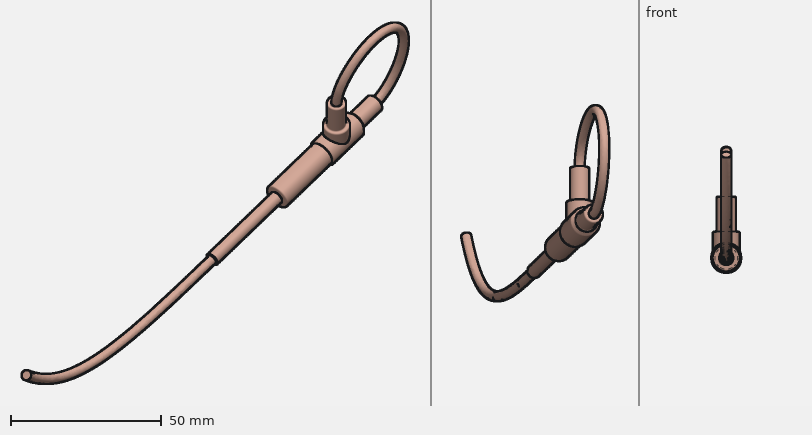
import cadquery as cq
import math


tee_diameter = 10.0
tee_front = 9.7
tee_rear = -7.7
edge_fillet = 0.6
neck_diameter = 9.0
neck_top = 8.7

sleeve_diameter = 6.5
sleeve_end = 20.3
sleeve_end_fillet = 0.5
sleeve_root_fillet = 0.5
flare_radius = sleeve_diameter / 2 + sleeve_root_fillet

barrel_diameter = 9.0
barrel_rear = -31.2
barrel_fillet = 0.6

tube_diameter = 4.7
tube_rear = -64.9

cable_diameter = 3.5
loop_pull = 12.4
loop_far = 52.7
loop_near = 26.4
tail_tip = (-161.8, 34.2)
tail_tip_angle = 55.0
tail_start_pull = 47.0
tail_tip_pull = 40.0


def rod_along_y(diameter, start, end):
    """Round rod on the Y axis between two Y positions."""
    plane = cq.Workplane("XZ", origin=(0, start, 0))
    return plane.circle(diameter / 2).extrude(start - end)


def make_sleeve(root):
    """Sleeve standing on the Z axis, flared by a fillet at its root and rounded at its free end."""
    radius = sleeve_diameter / 2
    bulge = math.sqrt(0.5)
    flare_middle = (
        flare_radius - sleeve_root_fillet * bulge,
        root + sleeve_root_fillet * (1 - bulge),
    )
    rounding_middle = (
        radius - sleeve_end_fillet * (1 - bulge),
        sleeve_end - sleeve_end_fillet * (1 - bulge),
    )
    profile = (
        cq.Workplane("XZ")
        .lineTo(flare_radius, 0)
        .lineTo(flare_radius, root)
        .threePointArc(flare_middle, (radius, root + sleeve_root_fillet))
        .lineTo(radius, sleeve_end - sleeve_end_fillet)
        .threePointArc(rounding_middle, (radius - sleeve_end_fillet, sleeve_end))
        .lineTo(0, sleeve_end)
        .close()
    )
    return profile.revolve(360, (0, 0), (0, 1))


def make_tee():
    """Tee with a sleeve on the front of its run and another on its branch."""
    front_chamfer = tee_diameter / 2 - flare_radius
    run = (
        rod_along_y(tee_diameter, tee_rear, tee_front)
        .faces(">Y").chamfer(front_chamfer)
        .edges(cq.selectors.RadiusNthSelector(-1)).fillet(edge_fillet)
    )
    neck = (
        cq.Workplane("XY").circle(neck_diameter / 2).extrude(neck_top)
        .faces(">Z").fillet(edge_fillet)
    )
    branch_sleeve = make_sleeve(neck_top)
    front_sleeve = make_sleeve(tee_front).rotate((0, 0, 0), (1, 0, 0), -90)
    return run.union(neck).union(branch_sleeve).union(front_sleeve)


def make_barrel():
    """Barrel behind the tee."""
    return rod_along_y(barrel_diameter, barrel_rear, tee_rear).faces("<Y").fillet(barrel_fillet)


def make_loop_cable():
    """Cable looping from the front sleeve to the branch sleeve, mirrored about the diagonal."""
    path = cq.Workplane("YZ").bezier(
        [
            (sleeve_end, 0),
            (sleeve_end + loop_pull, 0),
            (loop_far, loop_near),
            (loop_near, loop_far),
            (0, sleeve_end + loop_pull),
            (0, sleeve_end),
        ]
    )
    start = cq.Workplane("XZ", origin=(0, sleeve_end, 0))
    return start.circle(cable_diameter / 2).sweep(path)


def make_tail_cable():
    """Cable leaving the tube level and curving up to its cut end."""
    angle = math.radians(tail_tip_angle)
    tip_y, tip_z = tail_tip
    tip_arm = (tip_y + tail_tip_pull * math.cos(angle), tip_z - tail_tip_pull * math.sin(angle))
    path = cq.Workplane("YZ").bezier(
        [(tube_rear, 0), (tube_rear - tail_start_pull, 0), tip_arm, tail_tip]
    )
    start = cq.Workplane("XZ", origin=(0, tube_rear, 0))
    return start.circle(cable_diameter / 2).sweep(path)


tee = make_tee()
barrel = make_barrel()
tube = rod_along_y(tube_diameter, tube_rear, barrel_rear)
loop_cable = make_loop_cable()
tail_cable = make_tail_cable()

result = cq.Compound.makeCompound(
    [tee.val(), barrel.val(), tube.val(), loop_cable.val(), tail_cable.val()]
)